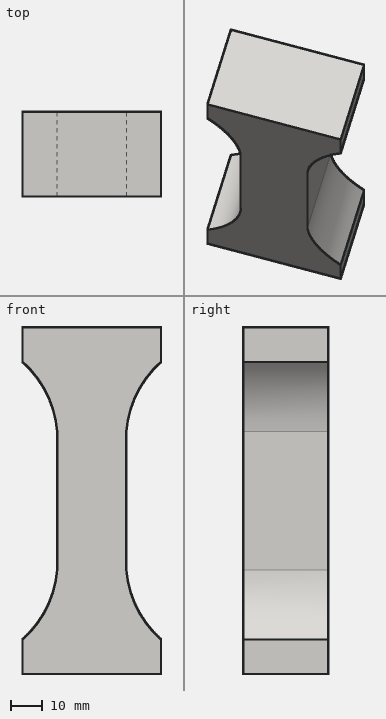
import cadquery as cq

height = 110.0
end_width = 44.0
waist_width = 22.0
thickness = 27.0
end_height = 11.0
waist_height = 44.0
flank_radius = 33.0

half_end = end_width / 2
half_waist = waist_width / 2
half_height = height / 2
corner_z = half_height - end_height
waist_top = waist_height / 2

profile = (
    cq.Workplane("XZ")
    .moveTo(0, -half_height)
    .lineTo(half_end, -half_height)
    .lineTo(half_end, -corner_z)
    .radiusArc((half_waist, -waist_top), flank_radius)
    .lineTo(half_waist, waist_top)
    .radiusArc((half_end, corner_z), flank_radius)
    .lineTo(half_end, half_height)
    .lineTo(0, half_height)
    .mirrorY()
)

result = profile.extrude(thickness / 2, both=True)